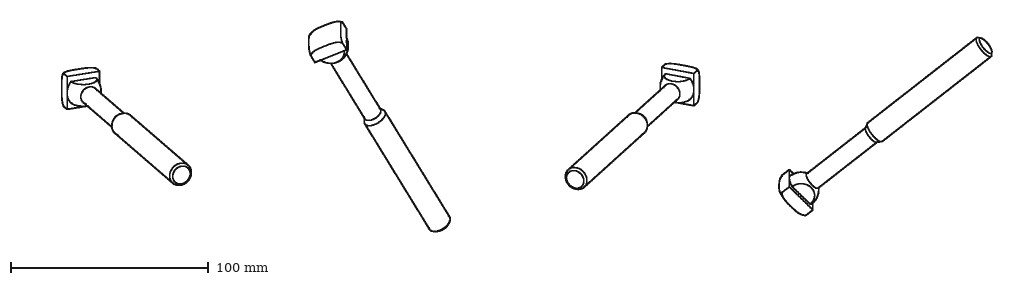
import cadquery as cq

total_length = 132.0
head_width = 18.0
head_thickness = 7.0
head_corner_rounding = 4.1
collar_thickness = 11.7
neck_diameter = 9.4
neck_end = 54.6
shank_diameter = 12.0
shank_start = 57.0
end_chamfer = 1.2

neck_radius = neck_diameter / 2
shank_radius = shank_diameter / 2
ball_radius = head_width / 2


def revolve_about_axis(points):
    """Revolve a closed (X, radius) outline about the bolt axis."""
    profile = cq.Workplane("XY").polyline(points).close()
    return profile.revolve(360, (0, 0, 0), (1, 0, 0))


def make_head():
    """Square head whose front corners roll back from a round flat face."""
    block = cq.Workplane("XY").box(
        head_thickness, head_width, head_width, centered=(False, True, True)
    )
    face_radius = head_width / 2
    envelope = (
        cq.Workplane("YZ")
        .circle(face_radius + head_corner_rounding)
        .extrude(head_thickness)
        .faces("<X")
        .edges()
        .fillet(head_corner_rounding)
    )
    return block.intersect(envelope)


def make_collar():
    """Half ball behind the head, flattened on its top and bottom."""
    ball = cq.Workplane("XY").sphere(ball_radius).translate((head_thickness, 0, 0))
    slab = (
        cq.Workplane("XY")
        .box(ball_radius, head_width, collar_thickness, centered=(False, True, True))
        .translate((head_thickness, 0, 0))
    )
    return ball.intersect(slab)


def make_stem():
    """Neck widening through a cone to the shank with its chamfered end."""
    return revolve_about_axis([
        (head_thickness, 0),
        (head_thickness, neck_radius),
        (neck_end, neck_radius),
        (shank_start, shank_radius),
        (total_length - end_chamfer, shank_radius),
        (total_length, shank_radius - end_chamfer),
        (total_length, 0),
    ])


result = make_head().union(make_collar()).union(make_stem())